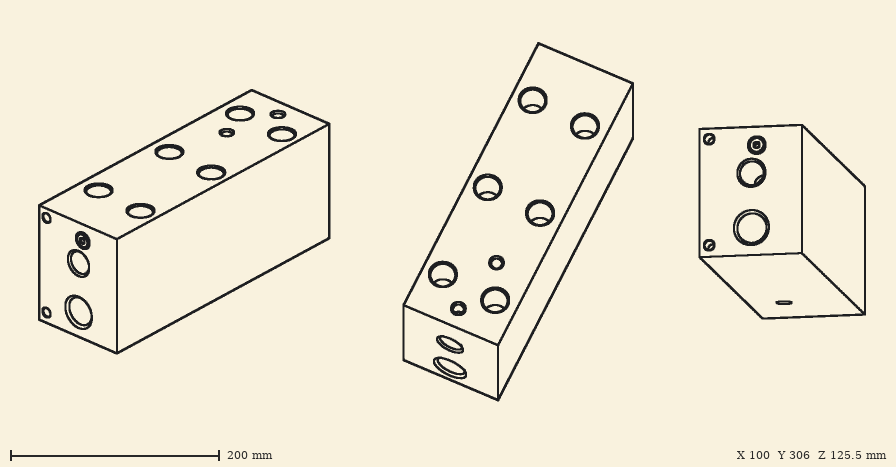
import cadquery as cq
import math

WIDTH = 100.0
OVERALL_LENGTH = 306.0
PLUG_PROTRUSION = 0.5
LENGTH = OVERALL_LENGTH - PLUG_PROTRUSION
HEIGHT = 125.5

DRILL_POINT_ANGLE = 118.0

BORE_X = 50.8
UPPER_BORE_Z = 80.5
UPPER_BORE_RADIUS = 11.5
UPPER_BORE_MOUTH_RADIUS = 13.8
LOWER_BORE_Z = 27.0
LOWER_BORE_RADIUS = 14.5
LOWER_BORE_MOUTH_RADIUS = 17.0

PORT_COUNT = 3
PORT_PITCH = 101.5
PORT_RADIUS = 12.0
PORT_MOUTH_RADIUS = 13.5
PORT_DEPTH = 36.7
LEFT_PORT_X = 22.5
LEFT_PORT_FIRST_Y = 60.3
RIGHT_PORT_X = 79.5
RIGHT_PORT_FIRST_Y = 57.0

CROSS_RADIUS = 6.0
CROSS_OFFSET_Y = 14.7
CROSS_OVERRUN = 4.5
CROSS_Z = HEIGHT - PORT_DEPTH

GAUGE_RADIUS = 5.2
GAUGE_MOUTH_RADIUS = 7.0
REAR_GAUGE_Y = 286.3
REAR_GAUGE_DEPTH = 18.5
SIDE_GAUGE_X = 38.2
SIDE_GAUGE_Y = 227.0
SIDE_GAUGE_DEPTH = HEIGHT - UPPER_BORE_Z

BOTTOM_DRILLING_X = 35.5
BOTTOM_DRILLING_Y = 233.0
BOTTOM_DRILLING_RADIUS = 7.0
BOTTOM_DRILLING_TOP_Z = HEIGHT - SIDE_GAUGE_DEPTH

CORNER_X = 9.5
CORNER_Z = (11.3, 115.0)
CORNER_RADIUS = 4.5
CORNER_MOUTH_RADIUS = 5.2
CORNER_DEPTH = 18.5

PLUG_X = 56.0
PLUG_Z = 107.5
PLUG_RADIUS = 7.0
PLUG_LENGTH = 12.2
PLUG_CHAMFER = 0.3
SPOT_FACE_RADIUS = 8.5
SPOT_FACE_DEPTH = 0.5
SOCKET_RADIUS = 2.5
SOCKET_MOUTH_RADIUS = 3.0
SOCKET_DEPTH = 6.0


def blind_hole(radius, depth, mouth_radius):
    """Drill shape going down from the origin: 45 degree mouth, straight wall, drill point."""
    chamfer = mouth_radius - radius
    point_height = radius / math.tan(math.radians(DRILL_POINT_ANGLE / 2))
    return (
        cq.Workplane("XZ")
        .polyline(
            [
                (0, 0),
                (mouth_radius, 0),
                (radius, -chamfer),
                (radius, -depth),
                (0, -depth - point_height),
            ]
        )
        .close()
        .revolve(360, (0, 0), (0, 1))
    )


def top_hole(x, y, radius, depth, mouth_radius):
    """Blind hole going down from the top face."""
    return blind_hole(radius, depth, mouth_radius).translate((x, y, HEIGHT))


def front_hole(x, z, radius, depth, mouth_radius):
    """Blind hole going toward +Y from the front face."""
    hole = blind_hole(radius, depth, mouth_radius)
    return hole.rotate((0, 0, 0), (1, 0, 0), 90).translate((x, 0, z))


def main_bore(z, radius, mouth_radius):
    """Bore along the whole block with a 45 degree chamfer at each end."""
    chamfer = mouth_radius - radius
    return (
        cq.Workplane("XY")
        .polyline(
            [
                (0, 0),
                (mouth_radius, 0),
                (radius, chamfer),
                (radius, LENGTH - chamfer),
                (mouth_radius, LENGTH),
                (0, LENGTH),
            ]
        )
        .close()
        .revolve(360, (0, 0), (0, 1))
        .translate((BORE_X, 0, z))
    )


def cross_drilling(port_y):
    """Drilling along X that nicks the rear side of a left port and opens into the upper bore."""
    start_x = LEFT_PORT_X - CROSS_OVERRUN
    return (
        cq.Workplane("YZ", origin=(start_x, port_y + CROSS_OFFSET_Y, CROSS_Z))
        .circle(CROSS_RADIUS)
        .extrude(BORE_X - start_x)
    )


def bottom_drilling():
    return (
        cq.Workplane("XY")
        .center(BOTTOM_DRILLING_X, BOTTOM_DRILLING_Y)
        .circle(BOTTOM_DRILLING_RADIUS)
        .extrude(BOTTOM_DRILLING_TOP_Z)
    )


def plug_cylinder(radius, start_y, length):
    """Cylinder on the plug axis, going toward +Y from start_y."""
    return cq.Workplane("XZ", origin=(PLUG_X, start_y, PLUG_Z)).circle(radius).extrude(-length)


def plug_body():
    return plug_cylinder(PLUG_RADIUS, -PLUG_PROTRUSION, PLUG_LENGTH)


def make_block():
    block = cq.Workplane("XY").box(WIDTH, LENGTH, HEIGHT, centered=False)

    block = block.cut(main_bore(UPPER_BORE_Z, UPPER_BORE_RADIUS, UPPER_BORE_MOUTH_RADIUS))
    block = block.cut(main_bore(LOWER_BORE_Z, LOWER_BORE_RADIUS, LOWER_BORE_MOUTH_RADIUS))

    for index in range(PORT_COUNT):
        left_y = LEFT_PORT_FIRST_Y + index * PORT_PITCH
        right_y = RIGHT_PORT_FIRST_Y + index * PORT_PITCH
        for x, y in ((LEFT_PORT_X, left_y), (RIGHT_PORT_X, right_y)):
            block = block.cut(top_hole(x, y, PORT_RADIUS, PORT_DEPTH, PORT_MOUTH_RADIUS))
        block = block.cut(cross_drilling(left_y))

    for x, y, depth in (
        (BORE_X, REAR_GAUGE_Y, REAR_GAUGE_DEPTH),
        (SIDE_GAUGE_X, SIDE_GAUGE_Y, SIDE_GAUGE_DEPTH),
    ):
        block = block.cut(top_hole(x, y, GAUGE_RADIUS, depth, GAUGE_MOUTH_RADIUS))
    block = block.cut(bottom_drilling())

    for z in CORNER_Z:
        block = block.cut(front_hole(CORNER_X, z, CORNER_RADIUS, CORNER_DEPTH, CORNER_MOUTH_RADIUS))

    block = block.cut(plug_cylinder(SPOT_FACE_RADIUS, 0, SPOT_FACE_DEPTH))
    return block.cut(plug_body())


def make_plug():
    plug = plug_body().faces("<Y").chamfer(PLUG_CHAMFER)
    socket = front_hole(PLUG_X, PLUG_Z, SOCKET_RADIUS, SOCKET_DEPTH, SOCKET_MOUTH_RADIUS)
    return plug.cut(socket.translate((0, -PLUG_PROTRUSION, 0)))


block = make_block()
plug = make_plug()

result = cq.Compound.makeCompound([block.val(), plug.val()])